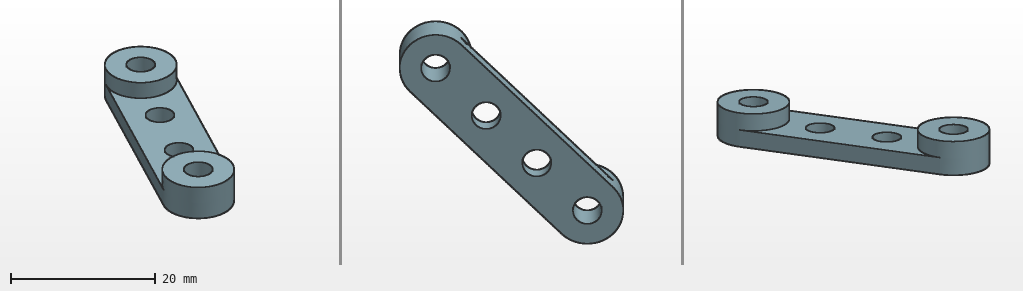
import cadquery as cq

length = 40.0
width = 10.0
total_height = 5.0
hole_diameter = 4.0
hole_count = 4

plate_thickness = total_height / 2
boss_height = total_height - plate_thickness
end_spacing = length - width
hole_pitch = end_spacing / (hole_count - 1)
boss_centers = [(-end_spacing / 2, 0), (end_spacing / 2, 0)]


def make_plate():
    """Flat link with full-round ends, resting on Z = 0."""
    return cq.Workplane("XY").slot2D(length, width).extrude(plate_thickness)


def make_bosses():
    """Round pads on the plate, concentric with its two ends."""
    return (
        cq.Workplane("XY")
        .workplane(offset=plate_thickness)
        .pushPoints(boss_centers)
        .circle(width / 2)
        .extrude(boss_height)
    )


def make_holes():
    """Row of evenly spaced through holes; the outer two pass through the pads."""
    return (
        cq.Workplane("XY")
        .rarray(hole_pitch, 0.4, hole_count, 1)
        .circle(hole_diameter / 2)
        .extrude(total_height)
    )


result = make_plate().union(make_bosses()).cut(make_holes())